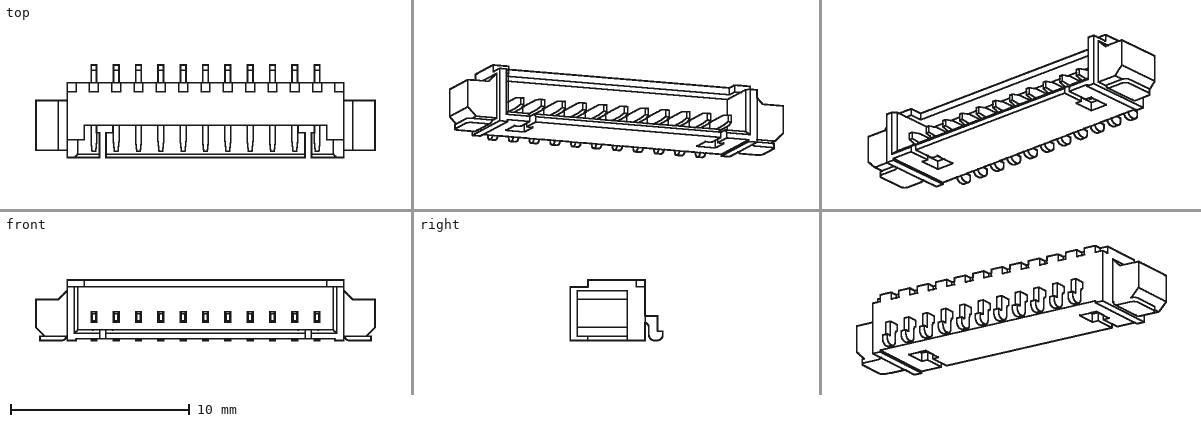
import cadquery as cq


body_length = 15.5
body_depth = 4.2
body_height = 3.4
roof_thickness = 0.4
roof_depth = 2.4
roof_end_depth = 3.2
roof_end_length = 0.95
back_wall = 1.2
side_wall = 0.6
floor_top = 0.6
roof_bottom = body_height - roof_thickness
mouth_chamfer = 0.2
foot_height = 0.1
foot_length = 0.5

slot_x = 5.75
slot_width = 0.35
window_width = 1.12
window_back = 1.5
window_front = 2.8

notch_width = 0.5
notch_depth = 0.5
corner_notch = 0.5

overall_length = 19.0
wing_back = 1.0
wing_depth = 2.8
wing_top = 2.3
wing_bottom = 0.24
wing_chamfer = 0.5

tab_inset = 0.23
tab_gap = 0.05
tab_depth = 2.2
tab_thickness = 0.25
tab_corner_radius = 0.3
tab_bend_radius = 0.24

pin_count = 11
pin_pitch = 1.25
pin_width = 0.32
pin_bottom = 1.02
pin_top = 1.6
pin_root = back_wall / 2
pin_front = 3.85
pin_tip_length = 0.56
pin_tip_width = 0.2
pin_tip_chamfer = 0.1
tail_top = 1.38
tail_inner = 0.2
tail_outer = 0.7
tail_end = 1.0
tail_toe_height = 0.53
tail_bend_radius = 0.28
tail_foot_radius = 0.33

pin_positions = [(i - (pin_count - 1) / 2) * pin_pitch for i in range(pin_count)]


def block(x_min, x_max, y_min, y_max, z_min, z_max):
    """Axis-aligned box given by its limits."""
    size = (x_max - x_min, y_max - y_min, z_max - z_min)
    return cq.Workplane("XY").box(*size, centered=False).translate((x_min, y_min, z_min))


def mirrored(half):
    """Join a feature on the -X side with its copy on the +X side."""
    return half.union(half.mirror("YZ"))


def make_mouth():
    """Cavity behind the mating opening, flared at the front edge of the floor and side walls."""
    inner_x = body_length / 2 - side_wall
    cavity = block(-inner_x, inner_x, -body_depth, -back_wall, floor_top, roof_bottom)

    def section(grow):
        x = inner_x + grow
        bottom = floor_top - grow
        return [(-x, bottom), (x, bottom), (x, roof_bottom), (-x, roof_bottom)]

    flare = (
        cq.Workplane("XZ", origin=(0, -body_depth, 0))
        .polyline(section(mouth_chamfer)).close()
        .workplane(offset=-mouth_chamfer)
        .polyline(section(0)).close()
        .loft(ruled=True)
    )
    return cavity.union(flare)


def make_housing():
    end_x = body_length / 2
    housing = block(-end_x, end_x, -body_depth, 0, 0, body_height)

    housing = housing.cut(block(-end_x, end_x, -body_depth, -roof_end_depth, roof_bottom, body_height))
    middle_x = end_x - roof_end_length
    housing = housing.cut(block(-middle_x, middle_x, -body_depth, -roof_depth, roof_bottom, body_height))

    housing = housing.cut(make_mouth())

    foot_x = end_x - foot_length
    return housing.cut(block(-foot_x, foot_x, -body_depth, 0, 0, foot_height))


def make_floor_openings():
    """Narrow slot from the mating face, widening to a window further back."""
    slot_start = -slot_x - slot_width / 2
    slot = block(slot_start, slot_start + slot_width, -body_depth, -window_back, 0, floor_top)
    window_start = -slot_x - window_width / 2
    window = block(window_start, window_start + window_width, -window_front, -window_back, 0, floor_top)
    return mirrored(slot.union(window))


def make_roof_notches():
    """One notch above each pin and one at each back corner."""
    end_x = body_length / 2
    notches = mirrored(block(-end_x, -end_x + corner_notch, -notch_depth, 0, roof_bottom, body_height))
    for x in pin_positions:
        notches = notches.union(
            block(x - notch_width / 2, x + notch_width / 2, -notch_depth, 0, roof_bottom, body_height)
        )
    return notches


def make_wings():
    outer_x = -overall_length / 2
    root_x = -body_length / 2
    wing = (
        cq.Workplane("XZ", origin=(0, -wing_back, 0))
        .moveTo(outer_x, wing_bottom + wing_chamfer)
        .lineTo(outer_x, wing_top)
        .lineTo(root_x - wing_chamfer, wing_top)
        .lineTo(root_x, wing_top + wing_chamfer)
        .lineTo(root_x, wing_bottom)
        .lineTo(outer_x + wing_chamfer, wing_bottom)
        .close()
        .extrude(wing_depth)
    )
    return mirrored(wing)


def make_tabs():
    """Solder tabs with rounded outer corners and a rounded lower edge beside the housing."""
    outer_x = -overall_length / 2 + tab_inset
    tab = block(outer_x, -body_length / 2 - tab_gap, -wing_back - tab_depth, -wing_back, 0, tab_thickness)
    tab = tab.edges("|Z and <X").fillet(tab_corner_radius)
    tab = tab.edges("|Y and <Z and >X").fillet(tab_bend_radius)
    return mirrored(tab)


def make_pin():
    """Pin at X = 0: a tapered contact blade and a tail bent down to the board."""
    blade = block(
        -pin_width / 2, pin_width / 2, -pin_front + pin_tip_length, -pin_root, pin_bottom, pin_top
    )
    mid_height = (pin_bottom + pin_top) / 2
    tip = (
        cq.Workplane("XZ", origin=(0, -pin_front + pin_tip_length, mid_height))
        .rect(pin_width, pin_top - pin_bottom)
        .workplane(offset=pin_tip_length)
        .rect(pin_tip_width, pin_top - pin_bottom - 2 * pin_tip_chamfer)
        .loft(ruled=True)
    )
    tail = (
        cq.Workplane("YZ", origin=(-pin_width / 2, 0, 0))
        .moveTo(-pin_root, tail_top)
        .lineTo(tail_outer, tail_top)
        .lineTo(tail_outer, tail_toe_height)
        .lineTo(tail_end, tail_toe_height)
        .lineTo(tail_end, tail_foot_radius)
        .radiusArc((tail_end - tail_foot_radius, 0), tail_foot_radius)
        .lineTo(tail_inner + tail_foot_radius, 0)
        .radiusArc((tail_inner, tail_foot_radius), tail_foot_radius)
        .lineTo(tail_inner, pin_bottom - tail_bend_radius)
        .radiusArc((tail_inner - tail_bend_radius, pin_bottom), -tail_bend_radius)
        .lineTo(-pin_root, pin_bottom)
        .close()
        .extrude(pin_width)
    )
    return blade.union(tip).union(tail)


result = make_housing().cut(make_floor_openings()).cut(make_roof_notches())
result = result.union(make_wings()).union(make_tabs())
pin = make_pin()
for pin_x in pin_positions:
    result = result.union(pin.translate((pin_x, 0, 0)))